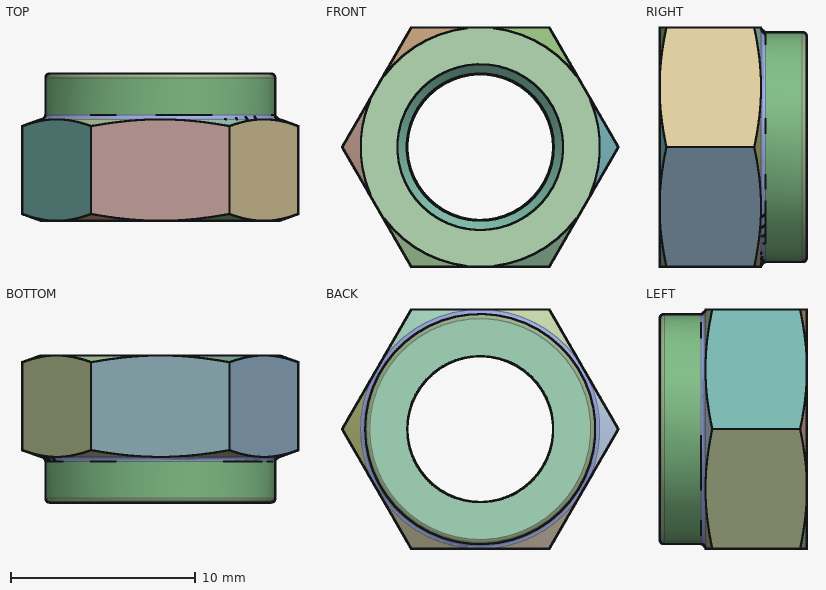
import cadquery as cq
import math

across_corners = 15.01
across_flats = across_corners * math.cos(math.radians(30))
total_length = 8.0
hex_length = 5.51
corner_chamfer_angle = 20.0
collar_diameter = 12.5
collar_edge_radius = 0.25
neck_fillet_radius = (across_flats - collar_diameter) / 2
bore_diameter = 8.0
bore_depth = 5.5
groove_diameter = 8.25
groove_width = 0.12
rear_bore_diameter = 7.91
countersink_diameter = 9.0
countersink_angle = 45.0


def revolve_about_axis(profile):
    """Turn a closed (radius, Y) profile into a solid of revolution about Y."""
    return cq.Workplane("XY").polyline(profile).close().revolve(360, (0, 0), (0, 1))


def hex_body():
    """Hexagonal prism with conical chamfers on both ends."""
    prism = (
        cq.Workplane("XZ")
        .polygon(6, across_corners)
        .extrude(-hex_length)
    )
    flat_radius = across_flats / 2
    outer_radius = across_corners / 2 + 0.15
    cone_depth = (outer_radius - flat_radius) * math.tan(math.radians(corner_chamfer_angle))
    envelope = revolve_about_axis([
        (0, 0),
        (flat_radius, 0),
        (outer_radius, cone_depth),
        (outer_radius, hex_length - cone_depth),
        (flat_radius, hex_length),
        (0, hex_length),
    ])
    return prism.intersect(envelope)


def collar():
    """Round collar with a rounded outer rim and a concave flare at its base."""
    radius = collar_diameter / 2
    flare_radius = radius + neck_fillet_radius
    diagonal = math.sqrt(0.5)
    flare_mid = (
        flare_radius - neck_fillet_radius * diagonal,
        hex_length + neck_fillet_radius * (1 - diagonal),
    )
    rim_mid = (
        radius - collar_edge_radius * (1 - diagonal),
        total_length - collar_edge_radius * (1 - diagonal),
    )
    return (
        cq.Workplane("XY")
        .lineTo(radius, 0)
        .lineTo(radius, hex_length)
        .lineTo(flare_radius, hex_length)
        .threePointArc(flare_mid, (radius, hex_length + neck_fillet_radius))
        .lineTo(radius, total_length - collar_edge_radius)
        .threePointArc(rim_mid, (radius - collar_edge_radius, total_length))
        .lineTo(0, total_length)
        .close()
        .revolve(360, (0, 0), (0, 1))
    )


def bore():
    """Countersunk bore with an inner groove, then a slightly narrower hole to the rear."""
    bore_radius = bore_diameter / 2
    groove_radius = groove_diameter / 2
    groove_end = bore_depth + groove_width
    rear_radius = rear_bore_diameter / 2
    sink_radius = countersink_diameter / 2
    sink_depth = (sink_radius - bore_radius) / math.tan(math.radians(countersink_angle))
    return revolve_about_axis([
        (0, 0),
        (sink_radius, 0),
        (bore_radius, sink_depth),
        (bore_radius, bore_depth),
        (groove_radius, bore_depth),
        (groove_radius, groove_end),
        (rear_radius, groove_end),
        (rear_radius, total_length),
        (0, total_length),
    ])


result = hex_body().union(collar()).cut(bore())